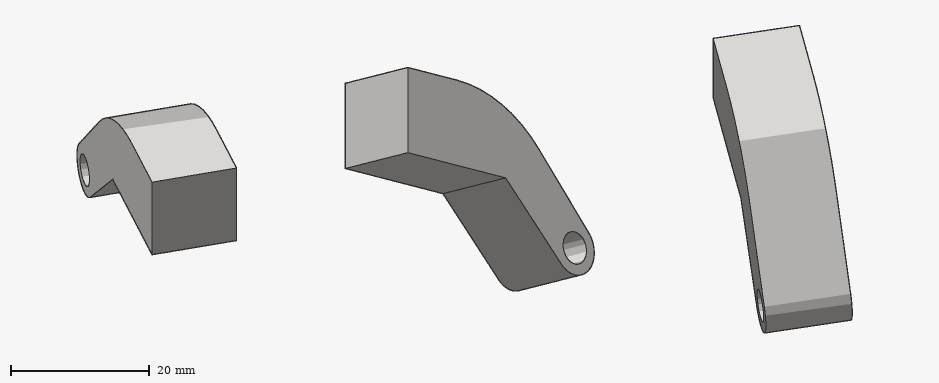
import cadquery as cq
import math

width = 12.7
total_length = 38.13
total_height = 24.48
eye_radius = 4.0
hole_diameter = 4.75
block_height = 12.7
block_bottom_length = 19.98
block_top_length = 10.0
arm_angle = math.radians(46)

end_x = total_length - eye_radius
top_z = total_height - eye_radius
bottom_z = top_z - block_height
corner_x = end_x - block_bottom_length
flat_start_x = end_x - block_top_length


def eye_point(angle):
    """Point on the rounded end, at an angle from +X toward +Z."""
    return (eye_radius * math.cos(angle), eye_radius * math.sin(angle))


upper_tangent = eye_point(arm_angle + math.pi / 2)

corner_distance = math.hypot(corner_x, bottom_z)
lower_angle = math.atan2(bottom_z, corner_x) - math.acos(eye_radius / corner_distance)
lower_tangent = eye_point(lower_angle)
eye_middle = eye_point((arm_angle + math.pi / 2 + lower_angle + 2 * math.pi) / 2)

apex_x = upper_tangent[0] + (top_z - upper_tangent[1]) / math.tan(arm_angle)
tangent_length = flat_start_x - apex_x
shoulder_radius = tangent_length / math.tan(arm_angle / 2)


def shoulder_point(angle):
    """Point on the shoulder arc where its slope has the given angle."""
    return (
        flat_start_x - shoulder_radius * math.sin(angle),
        top_z - shoulder_radius * (1 - math.cos(angle)),
    )


arm = (
    cq.Workplane("XZ")
    .moveTo(*upper_tangent)
    .lineTo(*shoulder_point(arm_angle))
    .threePointArc(shoulder_point(arm_angle / 2), (flat_start_x, top_z))
    .lineTo(end_x, top_z)
    .lineTo(end_x, bottom_z)
    .lineTo(corner_x, bottom_z)
    .lineTo(*lower_tangent)
    .threePointArc(eye_middle, upper_tangent)
    .close()
    .extrude(width / 2, both=True)
)

pivot_hole = cq.Workplane("XZ").circle(hole_diameter / 2).extrude(width, both=True)

result = arm.cut(pivot_hole)